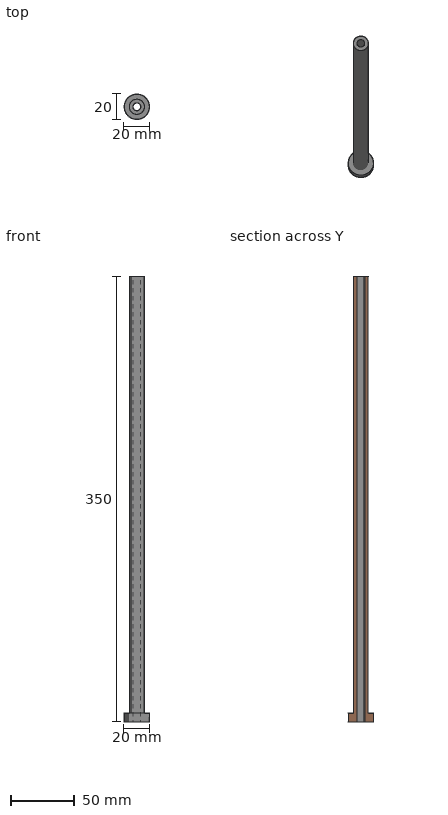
import cadquery as cq

total_length = 350.0
head_radius = 20.0 / 2
head_height = 7.0
tube_radius = 12.0 / 2
bore_radius = 6.0 / 2
neck_fillet = 0.5

half_section = (
    cq.Workplane("XZ")
    .moveTo(bore_radius, 0)
    .lineTo(head_radius, 0)
    .lineTo(head_radius, head_height)
    .lineTo(tube_radius + neck_fillet, head_height)
    .radiusArc((tube_radius, head_height + neck_fillet), neck_fillet)
    .lineTo(tube_radius, total_length)
    .lineTo(bore_radius, total_length)
    .close()
)

result = half_section.revolve(360, (0, 0, 0), (0, 1, 0))